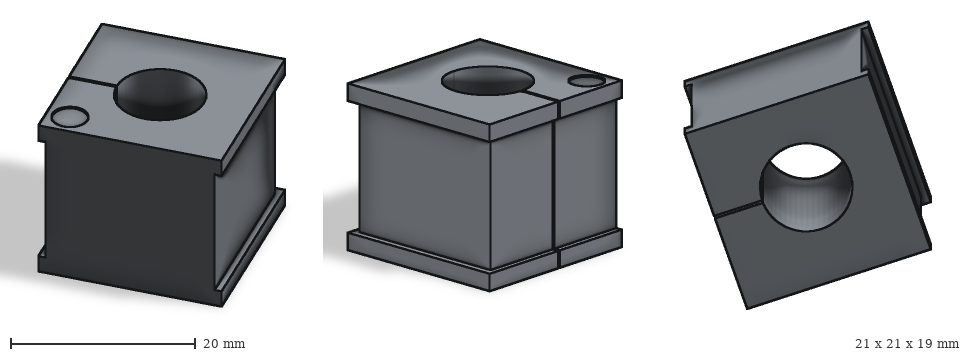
import cadquery as cq

side = 21.0
height = 19.0

flange_thickness = 2.0
side_step = 0.8
back_step = 1.0

bore_diameter = 10.0
bore_y = -0.5
slit_width = 0.3

recess_diameter = 4.0
recess_depth = 0.2
recess_edge_distance = 2.69

half_side = side / 2
waist_height = height - 2 * flange_thickness


def make_body():
    """Square flanges joined by a waist that is flush with them on -Y only."""
    flanges = cq.Workplane("XY").box(side, side, height, centered=(True, True, False))
    waist_width = side - 2 * side_step
    waist_depth = side - back_step
    band = (
        cq.Workplane("XY", origin=(0, 0, flange_thickness))
        .box(side, side, waist_height, centered=(True, True, False))
    )
    waist = (
        cq.Workplane("XY", origin=(0, -back_step / 2, flange_thickness))
        .box(waist_width, waist_depth, waist_height, centered=(True, True, False))
    )
    return flanges.cut(band.cut(waist))


def make_bore():
    return cq.Workplane("XY").center(0, bore_y).circle(bore_diameter / 2).extrude(height)


def make_slit():
    """Full-height slit from the -X face to the bore axis."""
    return (
        cq.Workplane("XY")
        .center(-half_side / 2, bore_y)
        .rect(half_side, slit_width)
        .extrude(height)
    )


def make_recess():
    recess_position = recess_edge_distance - half_side
    return (
        cq.Workplane("XY", origin=(0, 0, height))
        .center(recess_position, recess_position)
        .circle(recess_diameter / 2)
        .extrude(-recess_depth)
    )


result = make_body().cut(make_bore()).cut(make_slit()).cut(make_recess())